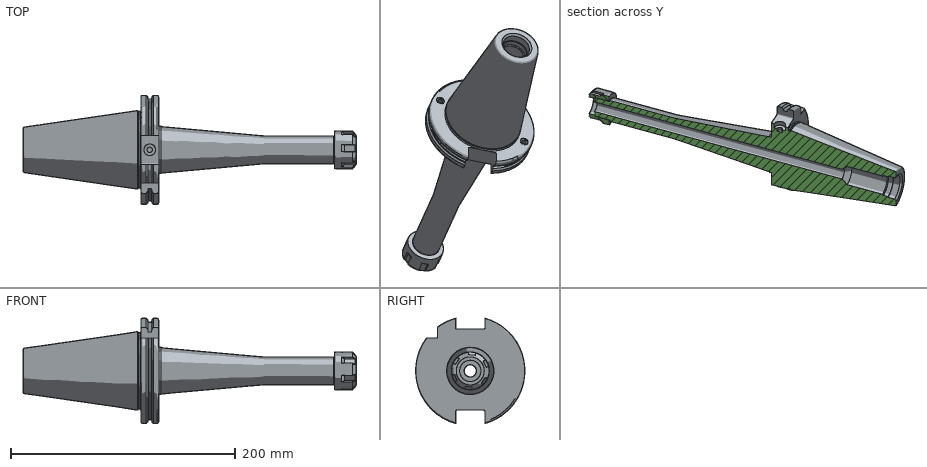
import cadquery as cq
import math

TOTAL_LENGTH = 297.0

TAPER_LENGTH = 102.0
GAUGE_RADIUS = 35.0
TAPER_RATIO = 7 / 24
REAR_RADIUS = GAUGE_RADIUS - TAPER_LENGTH * TAPER_RATIO / 2
REAR_FILLET = 1.8
NECK_RADIUS = 34.1
NECK_CHAMFER = GAUGE_RADIUS - NECK_RADIUS

FLANGE_RADIUS = 48.7
FLANGE_START = 104.8
FLANGE_END = 121.0
FLANGE_WIDTH = FLANGE_END - FLANGE_START
FLANGE_FILLET = 1.8
GROOVE_CENTER = 112.8
GROOVE_MOUTH = 6.5
GROOVE_FLOOR = 3.5
GROOVE_DEPTH = 3.3
GROOVE_ROOT_FILLET = 1.0
GROOVE_BEVEL = (GROOVE_MOUTH - GROOVE_FLOOR) / 2

SLOT_WIDTH = 25.8
TOP_SLOT_FLOOR = 37.5
BOTTOM_SLOT_FLOOR = 35.0
NOTCH_OFFSET = 29.5
ROOT_FILLET = 1.0

CHIP_RADIUS = 5.2
CHIP_DEPTH = 4.5
CHIP_PILOT_RADIUS = 2.5
CHIP_PILOT_DEPTH = 3.0

COOLANT_RADIUS = 3.5
COOLANT_STEP_DEPTH = 1.2
COOLANT_INNER_RADIUS = 2.0
COOLANT_DEPTH = 4.8
COOLANT_PITCH_RADIUS = 41.5
COOLANT_ANGLE = 20.0

COLLAR_RADIUS = 21.0
COLLAR_END = 123.0
CONE_START_RADIUS = 20.8
CONE_END = 214.7
SHANK_RADIUS = 12.5
SHANK_CHAMFER = 0.5

MOUTH_RADIUS = 14.0
MOUTH_CHAMFER = 1.8
COUNTERBORE_RADIUS = MOUTH_RADIUS - MOUTH_CHAMFER
COUNTERBORE_END = 8.0
RECESS_RADIUS = 11.3
RECESS_END = 12.5
THREAD_RADIUS = 10.5
THREAD_CHAMFER = RECESS_RADIUS - THREAD_RADIUS
THREAD_END = 47.5
BORE_RADIUS = 5.3
CONE_SEAT_END = THREAD_END + THREAD_RADIUS - BORE_RADIUS

NUT_RADIUS = 17.0
NUT_START = 277.4
NUT_REAR_CHAMFER_LENGTH = 1.8
NUT_REAR_CHAMFER_HEIGHT = 0.3
NUT_SHOULDER = 293.5
NUT_FRONT_CHAMFER = 2.0
NUT_NOSE_RADIUS = 12.5
SPIGOT_RADIUS = 11.3
SPIGOT_END = 291.5
NUT_OPENING_RADIUS = 9.5
NUT_SLOT_COUNT = 6
NUT_SLOT_WIDTH = 6.2
NUT_SLOT_START = 283.5
NUT_SLOT_DEPTH = 2.7
NUT_SLOT_TURN = 5.5


def revolve_about_x(points):
    """Turn a closed (x, radius) outline around the X axis."""
    return cq.Workplane("XY").polyline(points).close().revolve(360, (0, 0, 0), (1, 0, 0))


def box_between(x_range, y_range, z_range):
    """Box given by its limits along each axis."""
    (x0, x1), (y0, y1), (z0, z1) = x_range, y_range, z_range
    return cq.Workplane("XY").box(x1 - x0, y1 - y0, z1 - z0, centered=False).translate((x0, y0, z0))


def taper():
    """Steep taper with a rounded rear edge and the relief neck in front of it."""
    blank = revolve_about_x([
        (0, 0),
        (0, REAR_RADIUS),
        (TAPER_LENGTH, GAUGE_RADIUS),
        (TAPER_LENGTH + NECK_CHAMFER, NECK_RADIUS),
        (FLANGE_START - NECK_CHAMFER, NECK_RADIUS),
        (FLANGE_START, GAUGE_RADIUS),
        (FLANGE_START, 0),
    ])
    return blank.faces("<X").edges().fillet(REAR_FILLET)


def flange():
    """Disc with rounded rims and a bevelled gripper groove around it."""
    face = cq.Workplane("YZ", origin=(FLANGE_START, 0, 0))
    disc = face.circle(FLANGE_RADIUS).extrude(FLANGE_WIDTH).edges().fillet(FLANGE_FILLET)
    groove_bottom = FLANGE_RADIUS - GROOVE_DEPTH
    bevel_bottom = FLANGE_RADIUS - GROOVE_BEVEL
    groove = revolve_about_x([
        (GROOVE_CENTER - GROOVE_MOUTH / 2, FLANGE_RADIUS),
        (GROOVE_CENTER - GROOVE_FLOOR / 2, bevel_bottom),
        (GROOVE_CENTER - GROOVE_FLOOR / 2, groove_bottom),
        (GROOVE_CENTER + GROOVE_FLOOR / 2, groove_bottom),
        (GROOVE_CENTER + GROOVE_FLOOR / 2, bevel_bottom),
        (GROOVE_CENTER + GROOVE_MOUTH / 2, FLANGE_RADIUS),
    ])
    floor_edges = cq.selectors.RadiusNthSelector(0)
    disc = disc.cut(groove.edges(floor_edges).fillet(GROOVE_ROOT_FILLET))
    for cutout in flange_cutouts():
        disc = disc.cut(cutout)
    disc = disc.cut(chip_hole())
    for angle in (COOLANT_ANGLE, COOLANT_ANGLE + 180):
        disc = disc.cut(coolant_hole(angle))
    return disc


def shank():
    """Collar, cone and straight shank, ending in the spigot that carries the nut."""
    return revolve_about_x([
        (FLANGE_END, 0),
        (FLANGE_END, COLLAR_RADIUS),
        (COLLAR_END, COLLAR_RADIUS),
        (COLLAR_END, CONE_START_RADIUS),
        (CONE_END, SHANK_RADIUS),
        (NUT_START - SHANK_CHAMFER, SHANK_RADIUS),
        (NUT_START, SHANK_RADIUS - SHANK_CHAMFER),
        (NUT_START, SPIGOT_RADIUS),
        (SPIGOT_END, SPIGOT_RADIUS),
        (SPIGOT_END, 0),
    ])


def holder_bore():
    """Stepped bore running through the whole holder."""
    return revolve_about_x([
        (0, 0),
        (0, MOUTH_RADIUS),
        (MOUTH_CHAMFER, COUNTERBORE_RADIUS),
        (COUNTERBORE_END, COUNTERBORE_RADIUS),
        (COUNTERBORE_END, RECESS_RADIUS),
        (RECESS_END, RECESS_RADIUS),
        (RECESS_END + THREAD_CHAMFER, THREAD_RADIUS),
        (THREAD_END, THREAD_RADIUS),
        (CONE_SEAT_END, BORE_RADIUS),
        (SPIGOT_END, BORE_RADIUS),
        (SPIGOT_END, 0),
    ])


def flange_cutouts():
    """Two drive slots and the orientation notch, all through the flange width."""
    across = (FLANGE_START, FLANGE_END)
    slot_sides = (-SLOT_WIDTH / 2, SLOT_WIDTH / 2)
    top_slot = box_between(across, slot_sides, (TOP_SLOT_FLOOR, FLANGE_RADIUS))
    bottom_slot = box_between(across, slot_sides, (-FLANGE_RADIUS, -BOTTOM_SLOT_FLOOR))
    rim_side = (-FLANGE_RADIUS, -NOTCH_OFFSET)
    notch = box_between(across, rim_side, (NOTCH_OFFSET, FLANGE_RADIUS))
    return [
        top_slot.edges("|X and <Z").fillet(ROOT_FILLET),
        bottom_slot.edges("|X and >Z").fillet(ROOT_FILLET),
        notch.edges("|X and <Z and >Y").fillet(ROOT_FILLET),
    ]


def chip_hole():
    """Stepped round hole sunk into the top slot floor."""
    floor = cq.Workplane("XY", origin=(GROOVE_CENTER, 0, TOP_SLOT_FLOOR))
    pocket = floor.circle(CHIP_RADIUS).extrude(-CHIP_DEPTH)
    pilot = floor.circle(CHIP_PILOT_RADIUS).extrude(-CHIP_DEPTH - CHIP_PILOT_DEPTH)
    return pocket.union(pilot)


def coolant_hole(angle):
    """Stepped blind hole along X in the rear flange face; the angle runs from +Y toward +Z."""
    y = COOLANT_PITCH_RADIUS * math.cos(math.radians(angle))
    z = COOLANT_PITCH_RADIUS * math.sin(math.radians(angle))
    face = cq.Workplane("YZ", origin=(FLANGE_START, y, z))
    mouth = face.circle(COOLANT_RADIUS).extrude(COOLANT_STEP_DEPTH)
    return mouth.union(face.circle(COOLANT_INNER_RADIUS).extrude(COOLANT_DEPTH))


def make_holder():
    return taper().union(flange()).union(shank()).cut(holder_bore())


def nut_blank():
    """Turned ring of the nut with its spigot bore and front opening."""
    shoulder_end = NUT_SHOULDER + NUT_FRONT_CHAMFER
    return revolve_about_x([
        (NUT_START, SPIGOT_RADIUS),
        (NUT_START, NUT_RADIUS - NUT_REAR_CHAMFER_HEIGHT),
        (NUT_START + NUT_REAR_CHAMFER_LENGTH, NUT_RADIUS),
        (NUT_SHOULDER, NUT_RADIUS),
        (shoulder_end, NUT_RADIUS - NUT_FRONT_CHAMFER),
        (TOTAL_LENGTH, NUT_NOSE_RADIUS),
        (TOTAL_LENGTH, NUT_OPENING_RADIUS),
        (SPIGOT_END, NUT_OPENING_RADIUS),
        (SPIGOT_END, SPIGOT_RADIUS),
    ])


def wrench_slot():
    """Slot along +Z of the nut, open at the front, with a 45 degree run-out at the rear."""
    floor = NUT_RADIUS - NUT_SLOT_DEPTH
    outline = [
        (NUT_SLOT_START, NUT_RADIUS),
        (NUT_SLOT_START + NUT_SLOT_DEPTH, floor),
        (TOTAL_LENGTH, floor),
        (TOTAL_LENGTH, NUT_RADIUS),
    ]
    return cq.Workplane("XZ").polyline(outline).close().extrude(NUT_SLOT_WIDTH / 2, both=True)


def make_nut():
    nut = nut_blank()
    slot = wrench_slot()
    for index in range(NUT_SLOT_COUNT):
        angle = index * 360 / NUT_SLOT_COUNT - NUT_SLOT_TURN
        nut = nut.cut(slot.rotate((0, 0, 0), (1, 0, 0), angle))
    return nut


holder = make_holder()
nut = make_nut()

result = cq.Compound.makeCompound([holder.solids().val(), nut.solids().val()])